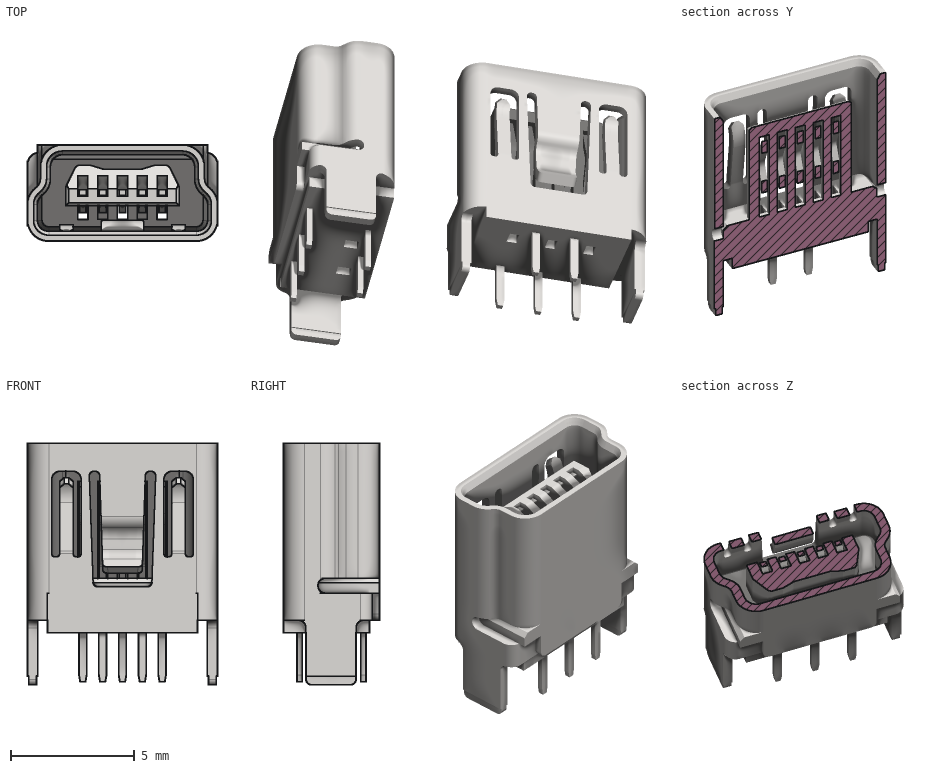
import cadquery as cq
import math


TOP = 9.8
HALF_WIDTH = 3.85
FRONT = -1.95
BACK = 1.95
WALL = 0.4
FRONT_RADIUS = 0.85
SHOULDER_START = -0.46
SHOULDER_ANGLE = math.radians(46)
SHOULDER_CONVEX_RADIUS = 0.83
SHOULDER_CONCAVE_RADIUS = 0.41
SHOULDER_FLAT = 0.21
SHOULDER_FLAT_START = (
    HALF_WIDTH - SHOULDER_CONVEX_RADIUS * (1 - math.cos(SHOULDER_ANGLE)),
    SHOULDER_START + SHOULDER_CONVEX_RADIUS * math.sin(SHOULDER_ANGLE),
)
SHOULDER_FLAT_END = (
    SHOULDER_FLAT_START[0] - SHOULDER_FLAT * math.sin(SHOULDER_ANGLE),
    SHOULDER_FLAT_START[1] + SHOULDER_FLAT * math.cos(SHOULDER_ANGLE),
)
SHOULDER_END = SHOULDER_FLAT_END[1] + SHOULDER_CONCAVE_RADIUS * math.sin(SHOULDER_ANGLE)
NECK_HALF_WIDTH = SHOULDER_FLAT_END[0] - SHOULDER_CONCAVE_RADIUS * (1 - math.cos(SHOULDER_ANGLE))
NECK_RADIUS = 0.88
MOUTH_CHAMFER = 0.16
MOUTH_CHAMFER_DEPTH = 0.27
SHELL_BOTTOM = 2.62

SKIRT_TOP = 3.72
SKIRT_BACK = 1.65
SKIRT_BACK_RADIUS = 0.49
FLAP_CORNER_RADIUS = 0.27

LEG_FRONT = -1.04
LEG_BACK = 1.0
LEG_THICKNESS = 0.42
LEG_TIP_HEIGHT = 0.35
LEG_TIP_TAPER = 0.05
LEG_CORNER = 0.24
LEG_ROOT_RADIUS = 0.29

FLOOR = 4.32
PLATE_HALF_WIDTH = HALF_WIDTH - WALL
PLATE_CHAMFER = 0.19
SLOT_FRONT = -0.55
SLOT_RADIUS = 0.29
BASE_HALF_WIDTH = 3.05
BASE_BOTTOM = 2.11
TONGUE_TOP = 8.86
TONGUE_FRONT = -0.51
TONGUE_HALF_WIDTH = 2.29
TONGUE_BACK = 1.13
TONGUE_CHAMFER = 0.11
BEVEL_START = 0.17
BEVEL_DROP = 0.46

PITCH = 0.8
POSITIONS = range(-2, 3)
GROOVE_WIDTH = 0.41
GROOVE_BACK = 0.14
GROOVE_TIP_BACK = 0.71
GROOVE_TOP = 8.25
TIP_OPENING_FRONT = -0.13
FLOOR_HOLE_FRONT = -1.07
BLIND_HOLE_BOTTOM = 3.14
CONTACT_WIDTH = 0.27
CONTACT_THICKNESS = 0.23
CONTACT_Y = 0.02
PIN_WIDTH = 0.32
PIN_THICKNESS = 0.23
PIN_BOTTOM = 0.13
PIN_TIP_HEIGHT = 0.28
PIN_TIP_TAPER = 0.05
PIN_ROW_Y = 1.29
EMBED = 0.1

WALL_MIDDLE = FRONT + WALL / 2
CUT_TOP = 8.66
LATCH_WINDOW_BOTTOM = 3.98
LATCH_WINDOW_BOTTOM_HALF = 1.19
LATCH_WINDOW_TOP_HALF = 1.35
LATCH_TOP_HALF = 0.93
LATCH_BOTTOM_HALF = 0.79
LATCH_BEND_TOP = 6.84
LATCH_BOTTOM = 4.52
SPRING_WINDOW_INNER = 1.68
SPRING_WINDOW_OUTER = 2.87
SPRING_INNER = 2.0
SPRING_OUTER = 2.55
SPRING_ROOT = 5.33
SPRING_SLIT_BOTTOM = 5.19
SPRING_WINDOW_RADIUS = 0.34
SPRING_TIP_CHAMFER = 0.19
SPRING_SLIT_RADIUS = 0.13


def box(x0, x1, y0, y1, z0, z1):
    return cq.Workplane("XY").box(x1 - x0, y1 - y0, z1 - z0, centered=False).translate((x0, y0, z0))


def bent_strip(start, heading, moves, width, thickness):
    """Sheet strip whose centre line lies in the YZ plane.

    Each move is (length,) for a straight or (radius, degrees) for a bend; positive bends turn from Y to Z.
    """
    y, z = start
    angle = math.radians(heading)
    path = cq.Workplane("YZ").moveTo(y, z)
    for move in moves:
        if len(move) == 1:
            y += move[0] * math.cos(angle)
            z += move[0] * math.sin(angle)
            path = path.lineTo(y, z)
            continue
        radius = math.copysign(move[0], move[1])
        turn = math.radians(move[1])
        centre_y = y - radius * math.sin(angle)
        centre_z = z + radius * math.cos(angle)
        middle = angle + turn / 2
        angle += turn
        y = centre_y + radius * math.sin(angle)
        z = centre_z - radius * math.cos(angle)
        path = path.threePointArc(
            (centre_y + radius * math.sin(middle), centre_z - radius * math.cos(middle)), (y, z)
        )
    section = cq.Workplane("XY", origin=(0, start[0], start[1])).rect(width, thickness)
    return section.sweep(path)


def shell_outline(offset, z):
    """Closed outline of the shell mouth, moved inwards by offset."""
    front_flat = HALF_WIDTH - FRONT_RADIUS
    back_flat = NECK_HALF_WIDTH - NECK_RADIUS
    outline = (
        cq.Workplane("XY", origin=(0, 0, z))
        .moveTo(0, FRONT)
        .lineTo(front_flat, FRONT)
        .tangentArcPoint((HALF_WIDTH, FRONT + FRONT_RADIUS), relative=False)
        .lineTo(HALF_WIDTH, SHOULDER_START)
        .tangentArcPoint(SHOULDER_FLAT_START, relative=False)
        .lineTo(*SHOULDER_FLAT_END)
        .tangentArcPoint((NECK_HALF_WIDTH, SHOULDER_END), relative=False)
        .lineTo(NECK_HALF_WIDTH, BACK - NECK_RADIUS)
        .tangentArcPoint((back_flat, BACK), relative=False)
        .lineTo(0, BACK)
        .mirrorY()
    )
    return outline.offset2D(-offset) if offset else outline


def make_skirt():
    skirt = box(-HALF_WIDTH, HALF_WIDTH, FRONT, SKIRT_BACK, SHELL_BOTTOM, SKIRT_TOP)
    skirt = skirt.edges("|Z and <Y").fillet(FRONT_RADIUS)
    skirt = skirt.edges("|Z and >Y").fillet(SKIRT_BACK_RADIUS)
    flap_half = NECK_HALF_WIDTH - NECK_RADIUS
    flap = box(-flap_half, flap_half, BACK - WALL, BACK, SHELL_BOTTOM, FLOOR)
    flap = flap.edges("|Y and <Z").fillet(FLAP_CORNER_RADIUS)
    return skirt.union(flap)


def make_shell():
    shell = shell_outline(0, SKIRT_TOP).extrude(TOP - SKIRT_TOP)
    slot = box(-HALF_WIDTH, HALF_WIDTH, SLOT_FRONT, BACK, SKIRT_TOP, FLOOR)
    shell = shell.cut(slot.edges("|X and <Y").fillet(SLOT_RADIUS))
    cavity = shell_outline(WALL, SKIRT_TOP).extrude(TOP - SKIRT_TOP)
    flare_angle = math.degrees(math.atan(MOUTH_CHAMFER / MOUTH_CHAMFER_DEPTH))
    flare = shell_outline(WALL - MOUTH_CHAMFER, TOP).extrude(-MOUTH_CHAMFER_DEPTH, taper=flare_angle)
    return shell.cut(cavity).cut(flare).union(make_skirt())


def make_leg():
    """Solder leg on the +X side."""
    inner = HALF_WIDTH - LEG_THICKNESS
    leg = box(inner, HALF_WIDTH, LEG_FRONT, LEG_BACK, 0, SKIRT_TOP)
    leg = leg.edges("|X and <Z").fillet(LEG_CORNER)
    for side in (inner, HALF_WIDTH - LEG_TIP_TAPER):
        leg = leg.cut(box(side, side + LEG_TIP_TAPER, LEG_FRONT, LEG_BACK, 0, LEG_TIP_HEIGHT))
    arc_inset = LEG_ROOT_RADIUS * (1 - math.sqrt(0.5))
    for edge, outward in ((LEG_FRONT, -1), (LEG_BACK, 1)):
        root = (
            cq.Workplane("YZ", origin=(inner, 0, 0))
            .moveTo(edge, SHELL_BOTTOM)
            .lineTo(edge + outward * LEG_ROOT_RADIUS, SHELL_BOTTOM)
            .threePointArc(
                (edge + outward * arc_inset, SHELL_BOTTOM - arc_inset),
                (edge, SHELL_BOTTOM - LEG_ROOT_RADIUS),
            )
            .close()
            .extrude(LEG_THICKNESS)
        )
        leg = leg.union(root)
    return leg


def make_floor():
    """Base block and the floor plate whose wings pass through the shell slot."""
    plate = box(-PLATE_HALF_WIDTH, PLATE_HALF_WIDTH, FRONT + WALL, BACK, SKIRT_TOP, FLOOR)
    plate = plate.edges("|Z and <Y").fillet(FRONT_RADIUS - WALL)
    plate = plate.faces(">Z").edges("not >Y").chamfer(PLATE_CHAMFER)
    inner_back = BACK - WALL
    back_half = NECK_HALF_WIDTH - WALL
    back_chamfer = (
        cq.Workplane("YZ", origin=(-back_half, 0, 0))
        .moveTo(inner_back, FLOOR)
        .lineTo(inner_back - PLATE_CHAMFER, FLOOR)
        .lineTo(inner_back, FLOOR - PLATE_CHAMFER)
        .close()
        .extrude(2 * back_half)
    )
    base = box(-BASE_HALF_WIDTH, BASE_HALF_WIDTH, FRONT, inner_back, BASE_BOTTOM, SKIRT_TOP)
    return plate.cut(back_chamfer).union(base)


def make_tongue():
    flank_end = 0.26
    ledge_outer = 1.8
    ledge_inner = 1.29
    ledge_corner = (1.92, 1.03)
    step_corner = (0.79, 0.97)
    half_outline = [
        (TONGUE_HALF_WIDTH, TONGUE_FRONT),
        (TONGUE_HALF_WIDTH, flank_end),
        ledge_corner,
        (ledge_outer, TONGUE_BACK),
        (ledge_inner, TONGUE_BACK),
        step_corner,
    ]
    outline = half_outline + [(-x, y) for x, y in reversed(half_outline)]
    tongue = cq.Workplane("XY", origin=(0, 0, SKIRT_TOP)).polyline(outline).close()
    tongue = tongue.extrude(TONGUE_TOP - SKIRT_TOP)
    bevel = (
        cq.Workplane("YZ", origin=(-TONGUE_HALF_WIDTH, 0, 0))
        .moveTo(BEVEL_START, TONGUE_TOP)
        .lineTo(TONGUE_BACK, TONGUE_TOP)
        .lineTo(TONGUE_BACK, TONGUE_TOP - BEVEL_DROP)
        .close()
        .extrude(2 * TONGUE_HALF_WIDTH)
    )
    tongue = tongue.cut(bevel)
    return tongue.faces(">Z").edges("not >Y").chamfer(TONGUE_CHAMFER)


def make_contact_cavity(x, has_front_pin):
    """Groove in the tongue, its tip opening and the hole through the floor."""
    left = x - GROOVE_WIDTH / 2
    right = x + GROOVE_WIDTH / 2
    bevel_slope = BEVEL_DROP / (TONGUE_BACK - BEVEL_START)
    ramp_top = TONGUE_TOP - bevel_slope * (GROOVE_TIP_BACK - BEVEL_START)
    hole_bottom = BLIND_HOLE_BOTTOM if has_front_pin else BASE_BOTTOM
    outline = [
        (TONGUE_FRONT, FLOOR),
        (TONGUE_FRONT, GROOVE_TOP),
        (TIP_OPENING_FRONT, GROOVE_TOP),
        (TIP_OPENING_FRONT, TONGUE_TOP),
        (GROOVE_TIP_BACK, TONGUE_TOP),
        (GROOVE_TIP_BACK, ramp_top),
        (GROOVE_BACK, ramp_top - (GROOVE_TIP_BACK - GROOVE_BACK)),
        (GROOVE_BACK, FLOOR),
    ]
    groove = cq.Workplane("YZ", origin=(left, 0, 0)).polyline(outline).close().extrude(GROOVE_WIDTH)
    floor_hole = box(left, right, FLOOR_HOLE_FRONT, TONGUE_FRONT, hole_bottom, FLOOR)
    return groove.union(floor_hole)


def make_contact(x):
    """Springy contact that bows out of the front of the tongue."""
    lean = 22
    root_length = 0.59
    arm_length = 1.72
    root_radius = 0.39
    bow_radius = 0.49
    moves = [
        (root_length,),
        (root_radius, lean),
        (arm_length,),
        (bow_radius, -2 * lean),
        (arm_length,),
        (root_radius, lean),
    ]
    start = (CONTACT_Y, FLOOR - EMBED)
    return bent_strip(start, 90, moves, CONTACT_WIDTH, CONTACT_THICKNESS).translate((x, 0, 0))


def make_pin(x, y):
    half = PIN_WIDTH / 2
    outline = [
        (x - half, BASE_BOTTOM + EMBED),
        (x - half, PIN_BOTTOM + PIN_TIP_HEIGHT),
        (x - half + PIN_TIP_TAPER, PIN_BOTTOM),
        (x + half - PIN_TIP_TAPER, PIN_BOTTOM),
        (x + half, PIN_BOTTOM + PIN_TIP_HEIGHT),
        (x + half, BASE_BOTTOM + EMBED),
    ]
    front_face = cq.Workplane("XZ", origin=(0, y - PIN_THICKNESS / 2, 0))
    return front_face.polyline(outline).close().extrude(-PIN_THICKNESS)


def front_trapezoid(top_half, bottom_half, top, bottom, depth):
    """Prism behind the front face with an outline that narrows downwards."""
    corners = [(-top_half, top), (top_half, top), (bottom_half, bottom), (-bottom_half, bottom)]
    return cq.Workplane("XZ", origin=(0, FRONT, 0)).polyline(corners).close().extrude(-depth)


def make_latch_window():
    corner_radius = 0.2
    slit_radius = 0.2
    window = front_trapezoid(
        LATCH_WINDOW_TOP_HALF, LATCH_WINDOW_BOTTOM_HALF, CUT_TOP, LATCH_WINDOW_BOTTOM, WALL
    )
    window = window.edges("|Y and <Z").fillet(corner_radius)
    root = front_trapezoid(LATCH_TOP_HALF, LATCH_BOTTOM_HALF, CUT_TOP, LATCH_BOTTOM, WALL)
    root = root.intersect(box(-HALF_WIDTH, HALF_WIDTH, FRONT, BACK, LATCH_BEND_TOP, TOP))
    return window.cut(root).edges("|Y and >Z").fillet(slit_radius)


def make_latch():
    upper_bend_radius = 0.37
    lower_bend_radius = 0.78
    s_bend_angle = 52.5
    flat_length = 0.43
    tip_radius = 0.79
    tip_angle = 40
    tip_length = 0.43
    tip_corner = 0.2
    moves = [
        (upper_bend_radius, s_bend_angle),
        (lower_bend_radius, -s_bend_angle),
        (flat_length,),
        (tip_radius, -tip_angle),
        (tip_length,),
    ]
    strip = bent_strip((WALL_MIDDLE, LATCH_BEND_TOP), -90, moves, 2 * LATCH_TOP_HALF, WALL)
    outline = front_trapezoid(LATCH_TOP_HALF, LATCH_BOTTOM_HALF, CUT_TOP, LATCH_BOTTOM, BACK - FRONT)
    return strip.intersect(outline).faces("<Z").edges("not |X").fillet(tip_corner)


def make_spring_window():
    """Window around the +X side spring, with a slit along each side of the spring root."""
    window = box(
        SPRING_WINDOW_INNER, SPRING_WINDOW_OUTER, FRONT, FRONT + WALL, SPRING_SLIT_BOTTOM, CUT_TOP
    )
    window = window.edges("|Y and >Z").fillet(SPRING_WINDOW_RADIUS)
    window = window.cut(box(SPRING_INNER, SPRING_OUTER, FRONT, BACK, SPRING_SLIT_BOTTOM, SPRING_ROOT))
    return window.edges("|Y and <Z").fillet(SPRING_SLIT_RADIUS)


def make_spring():
    """Side spring on +X: leans into the mouth, then curls back at its tip."""
    lean = 7.4
    root_radius = 0.69
    arm_length = 1.98
    curl_radius = 1.19
    curl_angle = 46
    width = SPRING_OUTER - SPRING_INNER
    moves = [(root_radius, -lean), (arm_length,), (curl_radius, curl_angle)]
    strip = bent_strip((WALL_MIDDLE, SPRING_ROOT), 90, moves, width, WALL)
    strip = strip.translate(((SPRING_OUTER + SPRING_INNER) / 2, 0, 0))
    return strip.faces(">Z").edges("not |X").chamfer(SPRING_TIP_CHAMFER)


def both_sides(shape):
    return shape.union(shape.mirror("YZ"))


shell = make_shell().union(both_sides(make_leg()))
shell = shell.cut(make_latch_window()).union(make_latch())
shell = shell.cut(both_sides(make_spring_window())).union(both_sides(make_spring()))

result = shell.union(make_floor()).union(make_tongue())
for position in POSITIONS:
    pin_x = position * PITCH
    in_front_row = position % 2 == 1
    result = result.cut(make_contact_cavity(pin_x, in_front_row))
    result = result.union(make_contact(pin_x))
    result = result.union(make_pin(pin_x, -PIN_ROW_Y if in_front_row else PIN_ROW_Y))